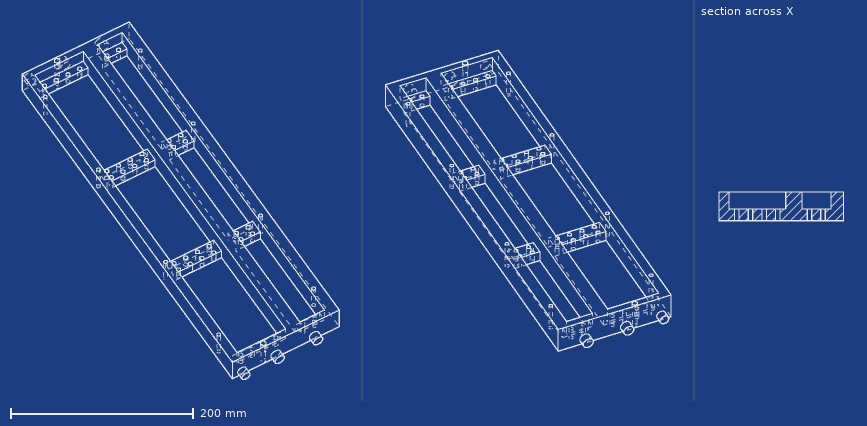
import cadquery as cq

overall_length = 468.0
frame_length = 450.0
frame_width = 136.5
frame_height = 32.0

end_wall = 8.5
front_rail = 11.0
back_rail = 14.0
beam_width = 18.2
front_window_width = 61.8

bar_height = 13.0
middle_bar_x = 71.0
middle_bar_length = 17.0
end_bar_length = 10.5

bar_hole_diameter = 4.5
bar_hole_pitch = 15.0
front_bar_hole_start = 19.5
front_bar_hole_count = 4
back_bar_hole_start = 99.0
back_bar_hole_count = 2
bar_column_x = 72.0
bar_column_spacing = 10.0
end_column_x = 210.0

rail_hole_diameter = 4.0
rail_hole_x = (72.0, 185.8)
front_rail_hole_inset = 6.0
back_rail_hole_inset = 9.5
end_hole_diameter = 6.0
end_hole_depth = 11.5
end_pilot_diameter = 5.0
end_hole_from_front = 42.0

pins = ((12.0, 10.8), (55.0, 12.0), (104.5, 12.0))
pin_axis_height = 7.0

front_y = -frame_width / 2
back_y = frame_width / 2
inner_length = frame_length - 2 * end_wall
front_window_y = front_y + front_rail
beam_y = front_window_y + front_window_width
back_window_y = beam_y + beam_width
back_window_width = back_y - back_rail - back_window_y


def block(length, width, height, x_center, y_start):
    """Upright block on Z = 0, centred on x_center and growing in +Y from y_start."""
    base = cq.Workplane("XY").center(x_center, y_start + width / 2)
    return base.rect(length, width).extrude(height)


def through_holes(points, diameter):
    """Cutters for round holes through the full frame height."""
    return cq.Workplane("XY").pushPoints(points).circle(diameter / 2).extrude(frame_height)


frame = block(frame_length, frame_width, frame_height, 0, front_y)
frame = frame.cut(block(inner_length, front_window_width, frame_height, 0, front_window_y))
frame = frame.cut(block(inner_length, back_window_width, frame_height, 0, back_window_y))

bar_width = frame_width - front_rail - back_rail
end_bar_x = (inner_length - end_bar_length) / 2
for side in (-1, 1):
    for bar_length, bar_x in ((middle_bar_length, middle_bar_x), (end_bar_length, end_bar_x)):
        frame = frame.union(block(bar_length, bar_width, bar_height, side * bar_x, front_window_y))

pin_length = (overall_length - frame_length) / 2 + end_wall
for from_front, diameter in pins:
    for side in (-1, 1):
        rod = cq.Workplane("YZ", origin=(side * overall_length / 2, 0, 0))
        rod = rod.center(front_y + from_front, pin_axis_height).circle(diameter / 2)
        frame = frame.union(rod.extrude(-side * pin_length))

bar_hole_y = [front_y + front_bar_hole_start + i * bar_hole_pitch for i in range(front_bar_hole_count)]
bar_hole_y += [front_y + back_bar_hole_start + i * bar_hole_pitch for i in range(back_bar_hole_count)]
half_spacing = bar_column_spacing / 2
column_x = (bar_column_x - half_spacing, bar_column_x + half_spacing, end_column_x)
bar_holes = [(side * x, y) for side in (-1, 1) for x in column_x for y in bar_hole_y]
frame = frame.cut(through_holes(bar_holes, bar_hole_diameter))

rail_hole_y = (front_y + front_rail_hole_inset, back_y - back_rail_hole_inset)
rail_holes = [(side * x, y) for side in (-1, 1) for x in rail_hole_x for y in rail_hole_y]
frame = frame.cut(through_holes(rail_holes, rail_hole_diameter))

end_hole_x = (frame_length - end_wall) / 2
end_holes = [(side * end_hole_x, front_y + end_hole_from_front) for side in (-1, 1)]
wide_part = cq.Workplane("XY", origin=(0, 0, frame_height)).pushPoints(end_holes)
frame = frame.cut(wide_part.circle(end_hole_diameter / 2).extrude(-end_hole_depth))
frame = frame.cut(through_holes(end_holes, end_pilot_diameter))

result = frame